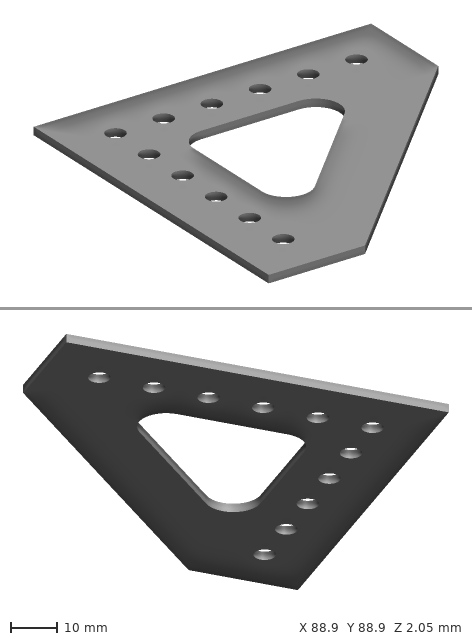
import cadquery as cq

side = 88.9
thickness = 2.05
pitch_count = 7
hole_diameter = 4.9
window_margin = 22.3
window_corner_radius = 6.3
window_diagonal_reach = 91.9

pitch = side / pitch_count
end_width = 2 * pitch
window_tip = window_diagonal_reach - window_margin


def make_plate():
    """Square plate with one corner cut away at 45 degrees."""
    outline = [(0, 0), (side, 0), (side, end_width), (end_width, side), (0, side)]
    return cq.Workplane("XY").polyline(outline).close().extrude(thickness)


def make_window():
    """Right-triangular through opening with rounded corners."""
    corners = [
        (window_margin, window_margin),
        (window_tip, window_margin),
        (window_margin, window_tip),
    ]
    triangle = cq.Workplane("XY").polyline(corners).close().extrude(thickness)
    return triangle.edges("|Z").fillet(window_corner_radius)


def make_holes():
    """Row of through holes along each leg, sharing the hole at the corner."""
    steps = range(1, pitch_count)
    bottom_row = [(step * pitch, pitch) for step in steps]
    left_row = [(pitch, step * pitch) for step in steps if step > 1]
    return cq.Workplane("XY").pushPoints(bottom_row + left_row).circle(hole_diameter / 2).extrude(thickness)


result = make_plate().cut(make_window()).cut(make_holes())